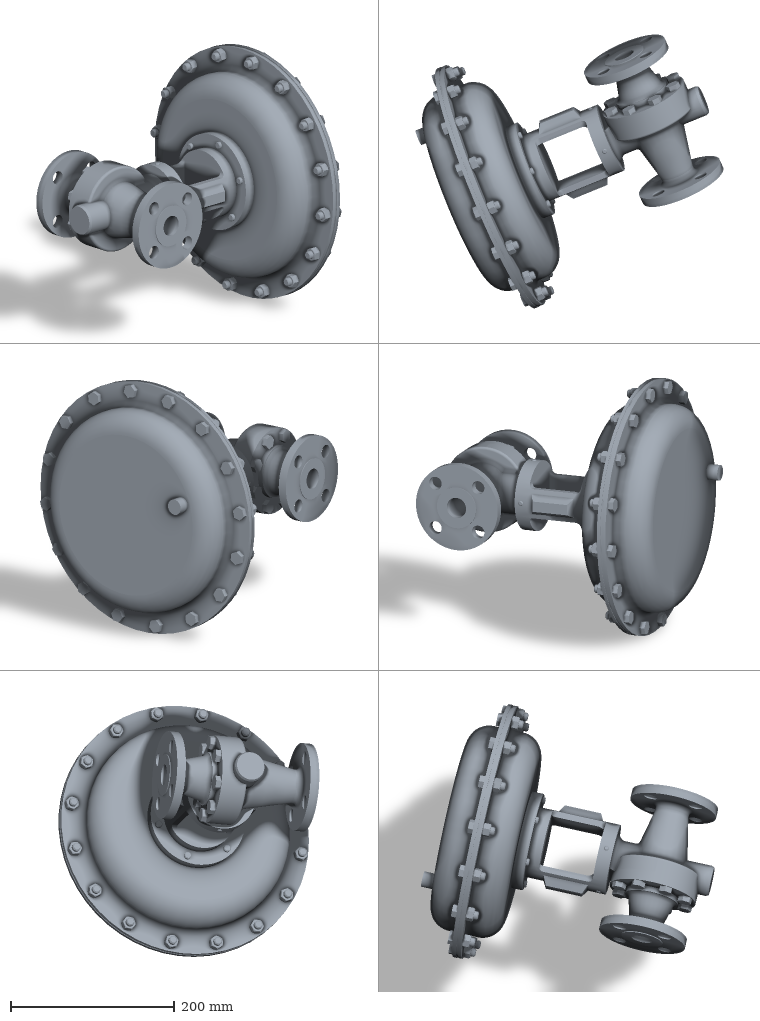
import cadquery as cq
import math


CASING_TOP = 262.5
CASING_BOTTOM = 171.2
DOME_RADIUS = 128.5
DOME_ROUND = 27.0
RIM_FILLET = 6.5
RIM_TOP = 223.0
RIM_SPLIT = 218.3
RIM_BOTTOM = 211.8
UPPER_RIM_RADIUS = 159.0
LOWER_RIM_RADIUS = 158.5
GASKET_THICKNESS = 2.5
GASKET_RADIUS = 157.8

AIR_PORT_X = -84.2
AIR_PORT_Z = 28.2
AIR_PORT_RADIUS = 9.5
AIR_PORT_TOP = 277.0

CASING_BOLT_COUNT = 16
CASING_BOLT_START_ANGLE = 15
CASING_BOLT_CIRCLE_RADIUS = 148.0
HEX_CORNER_RADIUS = 8.5
NUT_HEIGHT = 9.3
NUT_TWIST = -7.5
NUT_CHAMFER = 1.5
HEAD_HEIGHT = 6.5
HEAD_TWIST = 22.5
BOLT_RADIUS = 5.0
BOLT_END = 197.0
BOLT_CHAMFER = 1.5

YOKE_FLANGE_RADIUS = 60.5
YOKE_FLANGE_BOTTOM = 157.5
YOKE_RADIUS = 43.5
YOKE_BOTTOM = 57.0
WINDOW_TOP = 141.5
WINDOW_BOTTOM = 74.3
WINDOW_HALF_WIDTH = 32.0
WINDOW_FOOT_HEIGHT = 9.3
WINDOW_FOOT_STEP = 4.0
WINDOW_FOOT_RADIUS = 12.5
LEG_HALF_DEPTH = 18.5
LEG_FILLET = 6.0

PAD_CENTER_Y = 107.0
PAD_BASE_X = 40.5
PAD_FACE_X = 52.5
PAD_BASE_LENGTH = 57.0
PAD_BASE_DEPTH = 25.8
PAD_FACE_LENGTH = 45.5
PAD_FACE_DEPTH = 13.0

YOKE_SCREW_COUNT = 6
YOKE_SCREW_START_ANGLE = 15
YOKE_SCREW_CIRCLE_RADIUS = 52.3
YOKE_SCREW_RADIUS = 4.5
YOKE_SCREW_HEIGHT = 3.5

SET_SCREW_COUNT = 4
SET_SCREW_Y = 65.3
SET_SCREW_RADIUS = 3.0
SET_SCREW_HEIGHT = 1.5
SCREW_CHAMFER = 1.0

FLANGE_RADIUS = 54.0
RAISED_FACE_RADIUS = 25.8
RAISED_FACE_HEIGHT = 1.0
BORE_RADIUS = 12.7
INLET_FACE_X = -91.0
INLET_FLANGE_BACK_X = -79.0
OUTLET_FACE_X = 92.8
OUTLET_FLANGE_BACK_X = 80.5
FLANGE_HOLE_RADIUS = 8.3
FLANGE_HOLE_OFFSET = 28.2

PIPE_RADIUS = 21.5
INLET_FILLET = 6.2
INLET_CONE_START_X = -66.0
INLET_CONE_END_X = -42.5
INLET_CONE_END_RADIUS = 28.0
CAP_RING_FACE_X = -39.0
CAP_RING_RADIUS = 33.0
CAP_FACE_X = -32.3
CAP_RING_FILLET_END_RADIUS = 31.5
BODY_JOINT_X = -19.0
BODY_END_X = 0.5
BODY_EDGE_ROUND = 3.0
CASTING_FILLET = 4.5
OUTLET_CONE_START_X = BODY_END_X + CASTING_FILLET
OUTLET_CONE_START_RADIUS = 35.0
OUTLET_CONE_END_X = 72.5
OUTLET_PIPE_RADIUS = 21.0
OUTLET_FILLET = 4.5

CAP_SCREW_COUNT = 8
CAP_SCREW_START_ANGLE = 22.5
CAP_SCREW_CIRCLE_RADIUS = 44.7
CAP_SCREW_HEIGHT = 6.5
CAP_SCREW_TWIST = 22.5

NECK_RADIUS = 25.5
NECK_TOP_RADIUS = 32.0
NECK_FLARE_ARC_RADIUS = 6.0
PLUG_RADIUS = 19.0
PLUG_END = -66.7
PLUG_CHAMFER_LENGTH = 3.5
PLUG_CHAMFER_INSET = 1.5


def revolve_about_y(outline):
    return outline.close().revolve(360, (0, 0, 0), (0, 1, 0))


def revolve_about_x(outline):
    return outline.close().revolve(360, (0, 0, 0), (1, 0, 0))


def cylinder_y(radius, bottom, top, x=0, z=0):
    return cq.Workplane(cq.Solid.makeCylinder(radius, top - bottom, cq.Vector(x, bottom, z), cq.Vector(0, 1, 0)))


def cylinder_x(radius, start, end, y=0, z=0):
    return cq.Workplane(cq.Solid.makeCylinder(radius, end - start, cq.Vector(start, y, z), cq.Vector(1, 0, 0)))


def hex_prism_z(corner_radius, height, twist):
    """Hexagon standing on Z = 0 with one corner turned by twist degrees from +X."""
    return cq.Workplane("XY").polygon(6, 2 * corner_radius).extrude(height).rotate((0, 0, 0), (0, 0, 1), twist)


def ring_of(item, axis, start_angle, count):
    """Copies of item spread evenly round an axis through the origin."""
    copies = cq.Workplane()
    for index in range(count):
        angle = start_angle + index * 360 / count
        copies = copies.add(item.rotate((0, 0, 0), axis, angle))
    return copies


def casing():
    corner = DOME_RADIUS - DOME_ROUND
    fillet_end = DOME_RADIUS + RIM_FILLET
    gasket_bottom = RIM_SPLIT - GASKET_THICKNESS
    outline = (
        cq.Workplane("XY")
        .moveTo(0, CASING_BOTTOM)
        .lineTo(corner, CASING_BOTTOM)
        .radiusArc((DOME_RADIUS, CASING_BOTTOM + DOME_ROUND), -DOME_ROUND)
        .lineTo(DOME_RADIUS, RIM_BOTTOM - RIM_FILLET)
        .radiusArc((fillet_end, RIM_BOTTOM), RIM_FILLET)
        .lineTo(LOWER_RIM_RADIUS, RIM_BOTTOM)
        .lineTo(LOWER_RIM_RADIUS, gasket_bottom)
        .lineTo(GASKET_RADIUS, gasket_bottom)
        .lineTo(GASKET_RADIUS, RIM_SPLIT)
        .lineTo(UPPER_RIM_RADIUS, RIM_SPLIT)
        .lineTo(UPPER_RIM_RADIUS, RIM_TOP)
        .lineTo(fillet_end, RIM_TOP)
        .radiusArc((DOME_RADIUS, RIM_TOP + RIM_FILLET), RIM_FILLET)
        .lineTo(DOME_RADIUS, CASING_TOP - DOME_ROUND)
        .radiusArc((corner, CASING_TOP), -DOME_ROUND)
        .lineTo(0, CASING_TOP)
    )
    port = cylinder_y(AIR_PORT_RADIUS, CASING_TOP - DOME_ROUND, AIR_PORT_TOP, AIR_PORT_X, AIR_PORT_Z)
    return revolve_about_y(outline).union(port)


def casing_bolts():
    """Bolts through the rim: head above, chamfered nut and bolt end below."""
    head = hex_prism_z(HEX_CORNER_RADIUS, HEAD_HEIGHT, HEAD_TWIST).translate((0, 0, -HEAD_HEIGHT - RIM_TOP))
    nut_envelope = cq.Workplane("XY").circle(HEX_CORNER_RADIUS).extrude(NUT_HEIGHT)
    nut_envelope = nut_envelope.edges("%CIRCLE").chamfer(NUT_CHAMFER)
    nut = hex_prism_z(HEX_CORNER_RADIUS, NUT_HEIGHT, NUT_TWIST).intersect(nut_envelope)
    nut = nut.translate((0, 0, -RIM_BOTTOM))
    shank = cq.Workplane("XY").workplane(offset=-RIM_TOP).circle(BOLT_RADIUS).extrude(RIM_TOP - BOLT_END)
    shank = shank.faces(">Z").chamfer(BOLT_CHAMFER)
    bolt = head.union(shank).union(nut)
    bolt = bolt.rotate((0, 0, 0), (1, 0, 0), 90).translate((CASING_BOLT_CIRCLE_RADIUS, 0, 0))
    return ring_of(bolt, (0, -1, 0), CASING_BOLT_START_ANGLE, CASING_BOLT_COUNT)


def yoke():
    flange = cylinder_y(YOKE_FLANGE_RADIUS, YOKE_FLANGE_BOTTOM, CASING_BOTTOM)
    column = cylinder_y(YOKE_RADIUS, YOKE_BOTTOM, YOKE_FLANGE_BOTTOM)

    foot_y = WINDOW_BOTTOM + WINDOW_FOOT_HEIGHT
    foot_x = WINDOW_HALF_WIDTH - WINDOW_FOOT_STEP
    window = (
        cq.Workplane("XY")
        .moveTo(-WINDOW_HALF_WIDTH, WINDOW_TOP)
        .lineTo(-WINDOW_HALF_WIDTH, foot_y)
        .radiusArc((-foot_x, WINDOW_BOTTOM), -WINDOW_FOOT_RADIUS)
        .lineTo(foot_x, WINDOW_BOTTOM)
        .radiusArc((WINDOW_HALF_WIDTH, foot_y), -WINDOW_FOOT_RADIUS)
        .lineTo(WINDOW_HALF_WIDTH, WINDOW_TOP)
        .close()
        .extrude(YOKE_RADIUS, both=True)
    )
    column = column.cut(window)

    side_depth = YOKE_RADIUS
    for side in (-1, 1):
        relief = (
            cq.Workplane("XY")
            .box(2 * YOKE_RADIUS, WINDOW_TOP - WINDOW_BOTTOM, side_depth)
            .edges("|X")
            .edges("<Z" if side > 0 else ">Z")
            .fillet(LEG_FILLET)
            .translate((0, (WINDOW_TOP + WINDOW_BOTTOM) / 2, side * (LEG_HALF_DEPTH + side_depth / 2)))
        )
        column = column.cut(relief)

    yoke_body = flange.union(column)
    pad = (
        cq.Workplane("YZ")
        .workplane(offset=PAD_BASE_X)
        .center(PAD_CENTER_Y, 0)
        .rect(PAD_BASE_LENGTH, PAD_BASE_DEPTH)
        .workplane(offset=PAD_FACE_X - PAD_BASE_X)
        .rect(PAD_FACE_LENGTH, PAD_FACE_DEPTH)
        .loft(ruled=True)
    )
    return yoke_body.union(pad).union(pad.mirror("YZ"))


def yoke_screws():
    embed = 3.5
    flange_screw = cylinder_y(
        YOKE_SCREW_RADIUS, YOKE_FLANGE_BOTTOM - YOKE_SCREW_HEIGHT, YOKE_FLANGE_BOTTOM + embed,
        x=YOKE_SCREW_CIRCLE_RADIUS,
    ).faces("<Y").chamfer(SCREW_CHAMFER)
    set_screw = cylinder_x(
        SET_SCREW_RADIUS, YOKE_RADIUS - embed, YOKE_RADIUS + SET_SCREW_HEIGHT, y=SET_SCREW_Y,
    ).faces(">X").chamfer(SCREW_CHAMFER)
    flange_screws = ring_of(flange_screw, (0, -1, 0), YOKE_SCREW_START_ANGLE, YOKE_SCREW_COUNT)
    return flange_screws.add(ring_of(set_screw, (0, -1, 0), 0, SET_SCREW_COUNT))


def valve_body():
    outline = (
        cq.Workplane("XY")
        .moveTo(INLET_FACE_X, 0)
        .lineTo(INLET_FACE_X, RAISED_FACE_RADIUS)
        .lineTo(INLET_FACE_X + RAISED_FACE_HEIGHT, RAISED_FACE_RADIUS)
        .lineTo(INLET_FACE_X + RAISED_FACE_HEIGHT, FLANGE_RADIUS)
        .lineTo(INLET_FLANGE_BACK_X, FLANGE_RADIUS)
        .lineTo(INLET_FLANGE_BACK_X, PIPE_RADIUS + INLET_FILLET)
        .radiusArc((INLET_FLANGE_BACK_X + INLET_FILLET, PIPE_RADIUS), -INLET_FILLET)
        .lineTo(INLET_CONE_START_X, PIPE_RADIUS)
        .lineTo(INLET_CONE_END_X, INLET_CONE_END_RADIUS)
        .tangentArcPoint((CAP_RING_FACE_X, CAP_RING_FILLET_END_RADIUS), relative=False)
        .lineTo(CAP_RING_FACE_X, CAP_RING_RADIUS)
        .lineTo(CAP_FACE_X, CAP_RING_RADIUS)
        .lineTo(CAP_FACE_X, FLANGE_RADIUS)
        .lineTo(BODY_END_X - BODY_EDGE_ROUND, FLANGE_RADIUS)
        .radiusArc((BODY_END_X, FLANGE_RADIUS - BODY_EDGE_ROUND), BODY_EDGE_ROUND)
        .lineTo(BODY_END_X, OUTLET_CONE_START_RADIUS + CASTING_FILLET)
        .radiusArc((OUTLET_CONE_START_X, OUTLET_CONE_START_RADIUS), -CASTING_FILLET)
        .lineTo(OUTLET_CONE_END_X, OUTLET_PIPE_RADIUS)
        .lineTo(OUTLET_FLANGE_BACK_X - OUTLET_FILLET, OUTLET_PIPE_RADIUS)
        .radiusArc((OUTLET_FLANGE_BACK_X, OUTLET_PIPE_RADIUS + OUTLET_FILLET), -OUTLET_FILLET)
        .lineTo(OUTLET_FLANGE_BACK_X, FLANGE_RADIUS)
        .lineTo(OUTLET_FACE_X - RAISED_FACE_HEIGHT, FLANGE_RADIUS)
        .lineTo(OUTLET_FACE_X - RAISED_FACE_HEIGHT, RAISED_FACE_RADIUS)
        .lineTo(OUTLET_FACE_X, RAISED_FACE_RADIUS)
        .lineTo(OUTLET_FACE_X, 0)
    )
    return revolve_about_x(outline)


def neck_on(trunk, start_x, end_x):
    """Neck filleted onto a round trunk lying along X, kept between two X planes."""
    joined = trunk.union(cylinder_y(NECK_RADIUS, 0, 2 * YOKE_BOTTOM))
    reach = NECK_RADIUS + CASTING_FILLET
    joint = cq.selectors.BoxSelector((-reach, PIPE_RADIUS, -reach), (reach, YOKE_BOTTOM, reach))
    joined = joined.edges(joint).fillet(CASTING_FILLET)
    keep = cq.Workplane("XY").box(end_x - start_x, YOKE_BOTTOM, 2 * FLANGE_RADIUS, centered=(False, False, True))
    return joined.intersect(keep.translate((start_x, 0, 0)))


def neck_corner_fillet():
    """Upright fillets between the neck and the flat end of the body, one on each side."""
    center_x = BODY_END_X + CASTING_FILLET
    center_z = math.sqrt((NECK_RADIUS + CASTING_FILLET) ** 2 - center_x ** 2)
    touch = NECK_RADIUS / (NECK_RADIUS + CASTING_FILLET)
    touch_x = center_x * touch
    touch_z = center_z * touch
    height = math.sqrt((FLANGE_RADIUS - BODY_EDGE_ROUND) ** 2 - center_z ** 2)
    return (
        cq.Workplane("XZ")
        .moveTo(BODY_END_X, -center_z)
        .lineTo(BODY_END_X, center_z)
        .radiusArc((touch_x, touch_z), -CASTING_FILLET)
        .lineTo(touch_x, -touch_z)
        .radiusArc((BODY_END_X, -center_z), -CASTING_FILLET)
        .close()
        .extrude(-height)
    )


def neck_flare():
    """Neck widening under the yoke, cut flat where the cap flange begins."""
    arc_rise = NECK_FLARE_ARC_RADIUS * math.sin(math.radians(45))
    arc_spread = NECK_FLARE_ARC_RADIUS - arc_rise
    cone_foot_radius = NECK_RADIUS + arc_spread
    cone_foot_y = YOKE_BOTTOM - (NECK_TOP_RADIUS - cone_foot_radius)
    outline = (
        cq.Workplane("XY")
        .lineTo(NECK_RADIUS, 0)
        .lineTo(NECK_RADIUS, cone_foot_y - arc_rise)
        .radiusArc((cone_foot_radius, cone_foot_y), NECK_FLARE_ARC_RADIUS)
        .lineTo(NECK_TOP_RADIUS, YOKE_BOTTOM)
        .lineTo(0, YOKE_BOTTOM)
    )
    keep = cq.Workplane("XY").box(
        2 * FLANGE_RADIUS, 2 * YOKE_BOTTOM, 2 * FLANGE_RADIUS, centered=(False, True, True)
    )
    return revolve_about_y(outline).intersect(keep.translate((BODY_JOINT_X, 0, 0)))


def add_neck(body):
    drum = cylinder_x(FLANGE_RADIUS, -FLANGE_RADIUS, FLANGE_RADIUS)
    slope = (OUTLET_CONE_START_RADIUS - OUTLET_PIPE_RADIUS) / (OUTLET_CONE_END_X - OUTLET_CONE_START_X)
    cone_back_radius = OUTLET_CONE_START_RADIUS + slope * (OUTLET_CONE_START_X + FLANGE_RADIUS)
    cone = revolve_about_x(
        cq.Workplane("XY")
        .moveTo(-FLANGE_RADIUS, 0)
        .lineTo(-FLANGE_RADIUS, cone_back_radius)
        .lineTo(OUTLET_CONE_END_X, OUTLET_PIPE_RADIUS)
        .lineTo(OUTLET_CONE_END_X, 0)
    )
    on_drum = neck_on(drum, BODY_JOINT_X, BODY_END_X - BODY_EDGE_ROUND)
    on_cone = neck_on(cone, OUTLET_CONE_START_X, 2 * NECK_RADIUS)
    return body.union(neck_flare()).union(on_cone).union(on_drum).union(neck_corner_fillet())


def plug():
    body = cylinder_y(PLUG_RADIUS, PLUG_END, 0)
    return body.faces("<Y").chamfer(PLUG_CHAMFER_LENGTH, PLUG_CHAMFER_INSET)


def cap_screws():
    """Hex heads on the cap, each turned with its place in the ring."""
    head = hex_prism_z(HEX_CORNER_RADIUS, CAP_SCREW_HEIGHT, 0)
    head = head.rotate((0, 0, 0), (0, 0, 1), 90 + CAP_SCREW_TWIST)
    head = head.rotate((0, 0, 0), (0, 1, 0), -90)
    head = head.translate((CAP_FACE_X, CAP_SCREW_CIRCLE_RADIUS, 0))
    return ring_of(head, (1, 0, 0), CAP_SCREW_START_ANGLE, CAP_SCREW_COUNT)


def pipe_openings():
    """Inlet and outlet bores, blind either side of a wall in the body, and the flange bolt holes."""
    openings = cylinder_x(BORE_RADIUS, INLET_FACE_X, BODY_JOINT_X)
    openings = openings.add(cylinder_x(BORE_RADIUS, BODY_END_X, OUTLET_FACE_X))
    for start, end in ((INLET_FACE_X, INLET_FLANGE_BACK_X), (OUTLET_FLANGE_BACK_X, OUTLET_FACE_X)):
        for y in (-FLANGE_HOLE_OFFSET, FLANGE_HOLE_OFFSET):
            for z in (-FLANGE_HOLE_OFFSET, FLANGE_HOLE_OFFSET):
                openings = openings.add(cylinder_x(FLANGE_HOLE_RADIUS, start, end, y, z))
    return openings


def union_all(base, items):
    for item in items.vals():
        base = base.union(cq.Workplane(item))
    return base


actuator = union_all(casing(), casing_bolts())
actuator = union_all(actuator.union(yoke()), yoke_screws())

valve = add_neck(valve_body()).union(plug())
valve = union_all(valve, cap_screws())
for opening in pipe_openings().vals():
    valve = valve.cut(cq.Workplane(opening))

result = actuator.union(valve)